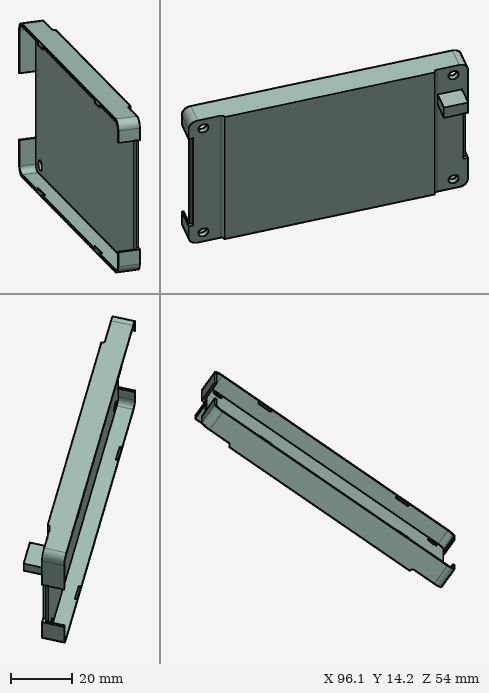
import cadquery as cq

length = 96.1
height = 54.0
corner_radius = 3.1
side_wall = 0.7
long_wall = 0.9

floor_front = 5.6
ledge_y = 6.4
rim_back = 7.5
pad_back = 8.6
block_back = 14.2

left_opening = (12.1, 35.7)
right_opening = (8.1, 46.6)
ledge_depth = 1.0

pad_start = 11.8
pad_end = 84.1
pad_edge_radius = pad_back - rim_back

block_x = 2.1
block_width = 8.4
block_z = 38.4
block_height = 4.5

tab_starts = (18.0, 73.0)
tab_length = 4.9
tab_rise = 0.9

hole_diameter = 3.5
hole_xs = (5.0, 91.0)
hole_inset_z = 4.0


def box(x0, x1, y0, y1, z0, z1):
    """Box between two opposite corners."""
    return cq.Workplane("XY").box(x1 - x0, y1 - y0, z1 - z0, centered=False).translate((x0, y0, z0))


def make_tray():
    """Rounded tray, open at the front."""
    outer = box(0, length, 0, rim_back, 0, height).edges("|Y").fillet(corner_radius)
    cavity = box(side_wall, length - side_wall, 0, floor_front, long_wall, height - long_wall)
    return outer.cut(cavity.edges("|Y").fillet(corner_radius - long_wall))


def cut_openings(body):
    """Remove the short walls between their end pieces and step the floor's back edge."""
    ledge_inset = side_wall + ledge_depth
    bottom, top = left_opening
    body = body.cut(box(0, side_wall, 0, rim_back, bottom, top))
    body = body.cut(box(0, ledge_inset, ledge_y, rim_back, bottom, top))
    bottom, top = right_opening
    body = body.cut(box(length - side_wall, length, 0, rim_back, bottom, top))
    return body.cut(box(length - ledge_inset, length, ledge_y, rim_back, bottom, top))


def make_pad():
    """Full-height raised pad whose two ends flare into the back face."""
    r = pad_edge_radius
    return (
        cq.Workplane("XY")
        .moveTo(pad_start - r, rim_back)
        .radiusArc((pad_start, pad_back), -r)
        .lineTo(pad_end, pad_back)
        .radiusArc((pad_end + r, rim_back), -r)
        .lineTo(pad_end + r, floor_front)
        .lineTo(pad_start - r, floor_front)
        .close()
        .extrude(height)
    )


def make_block():
    return box(block_x, block_x + block_width, ledge_y, block_back, block_z, block_z + block_height)


def make_lower_tab(x):
    """Triangular tab rising from the lower long wall."""
    tip = long_wall + tab_rise
    profile = [(0, 0), (0, tip), (tip, 0)]
    return cq.Workplane("YZ").polyline(profile).close().extrude(tab_length).translate((x, 0, 0))


def add_tabs(body):
    middle = (0, 0, height / 2)
    for x in tab_starts:
        lower_tab = make_lower_tab(x)
        upper_tab = lower_tab.mirror("XY", middle)
        body = body.union(lower_tab).union(upper_tab)
    return body


def drill_holes(body):
    for x in hole_xs:
        for z in (hole_inset_z, height - hole_inset_z):
            hole = cq.Workplane("XZ").center(x, z).circle(hole_diameter / 2).extrude(-pad_back)
            body = body.cut(hole)
    return body


tray = cut_openings(make_tray())
result = drill_holes(add_tabs(tray.union(make_pad()).union(make_block())))